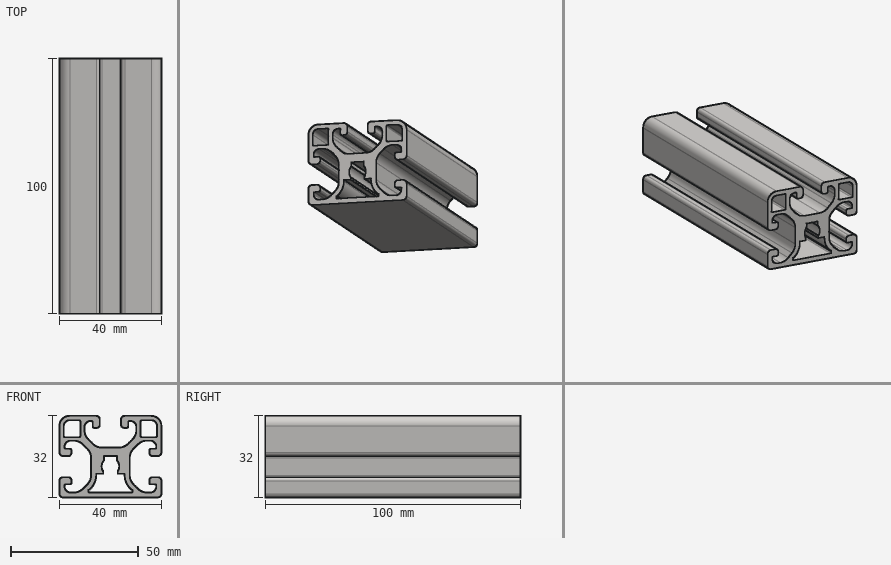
import cadquery as cq
import math

WIDTH = 40.0
HEIGHT = 32.0
LENGTH = 100.0
HALF_WIDTH = WIDTH / 2
TOP_CORNER_RADIUS = 4.0
BOTTOM_CORNER_RADIUS = 1.5

MOUTH_HALF = 4.1
LIP_HALF = 7.0
CAVITY_HALF = 10.1
FLOOR_HALF = 3.4
ROOF_DEPTH = 2.1
LIP_DEPTH = 4.8
SLOT_DEPTH = 12.4
MOUTH_RADIUS = 1.5
LIP_TIP_RADIUS = 1.3
LIP_HEEL_RADIUS = 0.7
LIP_ROOT_RADIUS = 0.4
CAVITY_CORNER_RADIUS = 2.3
CAVITY_RADIUS = 5.0
SIDE_SLOT_HEIGHT = 12.1

CHAMBER_WALL = 1.8
CHAMBER_SIZE = 6.4
CHAMBER_HEIGHT = 6.6
CHAMBER_OUTER_RADIUS = TOP_CORNER_RADIUS - CHAMBER_WALL
CHAMBER_SMALL_RADIUS = 0.5

BASE_WALL = 2.0
BASE_HALF = 8.6
BASE_CORNER_RADIUS = 0.4
FLARE_START_HEIGHT = 3.0
FLARE_START_HALF = 8.3
FLARE_RADIUS = 7.5
SHOULDER_HALF = 5.5
SHOULDER_HEIGHT = 9.3
FLARE_END_HEIGHT = 8.6
NECK_HALF = 2.8
BORE_HEIGHT = 12.2
BORE_RADIUS = 3.4
THROAT_HALF = 2.5
THROAT_ROOF_HEIGHT = 16.2


def extrude_centred(profile):
    return profile.extrude(LENGTH / 2, both=True)


def block(half, bottom, top):
    """Full-length box symmetric about the mid-plane."""
    return cq.Workplane("XY").box(2 * half, LENGTH, top - bottom).translate((0, 0, (bottom + top) / 2))


def with_mirror(half):
    """Join a solid with its reflection across the mid-plane."""
    return half.union(half.mirror("YZ"))


def make_body():
    body = block(HALF_WIDTH, 0, HEIGHT)
    body = body.edges("|Y and >Z").fillet(TOP_CORNER_RADIUS)
    return body.edges("|Y and <Z").fillet(BOTTOM_CORNER_RADIUS)


def make_slot():
    """T-slot cutter opening upward at Z = 0 and running along Y."""
    arc_along = CAVITY_RADIUS * math.sin(math.radians(45))
    arc_across = CAVITY_RADIUS - arc_along
    slant_inner = (FLOOR_HALF + arc_along, arc_across - SLOT_DEPTH)
    slant_outer = (CAVITY_HALF - arc_across, slant_inner[1] + CAVITY_HALF - arc_across - slant_inner[0])
    wall_end = (CAVITY_HALF, slant_outer[1] + arc_along)
    half = (
        cq.Workplane("XZ")
        .lineTo(MOUTH_HALF + MOUTH_RADIUS, 0)
        .radiusArc((MOUTH_HALF, -MOUTH_RADIUS), -MOUTH_RADIUS)
        .lineTo(MOUTH_HALF, LIP_TIP_RADIUS - LIP_DEPTH)
        .radiusArc((MOUTH_HALF + LIP_TIP_RADIUS, -LIP_DEPTH), -LIP_TIP_RADIUS)
        .lineTo(LIP_HALF - LIP_HEEL_RADIUS, -LIP_DEPTH)
        .radiusArc((LIP_HALF, LIP_HEEL_RADIUS - LIP_DEPTH), -LIP_HEEL_RADIUS)
        .lineTo(LIP_HALF, -ROOF_DEPTH - LIP_ROOT_RADIUS)
        .radiusArc((LIP_HALF + LIP_ROOT_RADIUS, -ROOF_DEPTH), LIP_ROOT_RADIUS)
        .lineTo(CAVITY_HALF - CAVITY_CORNER_RADIUS, -ROOF_DEPTH)
        .radiusArc((CAVITY_HALF, -ROOF_DEPTH - CAVITY_CORNER_RADIUS), CAVITY_CORNER_RADIUS)
        .lineTo(*wall_end)
        .radiusArc(slant_outer, CAVITY_RADIUS)
        .lineTo(*slant_inner)
        .radiusArc((FLOOR_HALF, -SLOT_DEPTH), CAVITY_RADIUS)
        .lineTo(0, -SLOT_DEPTH)
        .close()
    )
    return with_mirror(extrude_centred(half))


def make_corner_chambers():
    chamber = cq.Workplane("XY").box(CHAMBER_SIZE, LENGTH, CHAMBER_HEIGHT)
    chamber = chamber.edges("|Y and >X and >Z").fillet(CHAMBER_OUTER_RADIUS)
    chamber = chamber.edges("|Y and (<X or <Z)").fillet(CHAMBER_SMALL_RADIUS)
    chamber = chamber.translate((
        HALF_WIDTH - CHAMBER_WALL - CHAMBER_SIZE / 2,
        0,
        HEIGHT - CHAMBER_WALL - CHAMBER_HEIGHT / 2,
    ))
    return chamber.add(chamber.mirror("YZ")).combine()


def make_central_chamber():
    half_base = (
        cq.Workplane("XZ")
        .moveTo(0, BASE_WALL)
        .lineTo(BASE_HALF - BASE_CORNER_RADIUS, BASE_WALL)
        .radiusArc((BASE_HALF, BASE_WALL + BASE_CORNER_RADIUS), -BASE_CORNER_RADIUS)
        .lineTo(BASE_HALF, FLARE_START_HEIGHT)
        .lineTo(FLARE_START_HALF, FLARE_START_HEIGHT)
        .radiusArc((SHOULDER_HALF, FLARE_END_HEIGHT), FLARE_RADIUS)
        .lineTo(SHOULDER_HALF, SHOULDER_HEIGHT)
        .lineTo(0, SHOULDER_HEIGHT)
        .close()
    )
    base = with_mirror(extrude_centred(half_base))
    bore = extrude_centred(cq.Workplane("XZ").center(0, BORE_HEIGHT).circle(BORE_RADIUS))
    neck = block(NECK_HALF, SHOULDER_HEIGHT, BORE_HEIGHT)
    throat = block(THROAT_HALF, BORE_HEIGHT, THROAT_ROOF_HEIGHT)
    return base.union(bore).union(neck).union(throat)


slot = make_slot()
result = make_body()
result = result.cut(slot.translate((0, 0, HEIGHT)))
for side in (-1, 1):
    side_slot = slot.rotate((0, 0, 0), (0, 1, 0), side * 90)
    result = result.cut(side_slot.translate((side * HALF_WIDTH, 0, SIDE_SLOT_HEIGHT)))
result = result.cut(make_corner_chambers())
result = result.cut(make_central_chamber())
result = result.translate((0, 0, -HEIGHT / 2))